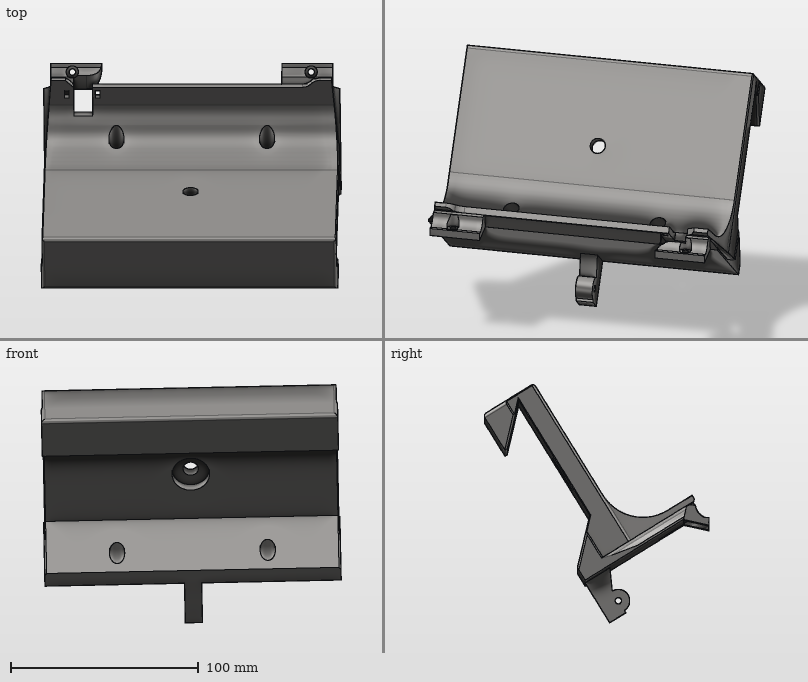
import cadquery as cq
import math


PITCH = 31.7
ROLL = -1.2

LENGTH = 158.0
HALF = LENGTH / 2
FRONT = -31.8
ARM_BACK = -11.7
TOP = 103.6
KNEE = 28.1
BASE_NOSE = KNEE - (ARM_BACK - FRONT)
HOOK_ROOT = 100.1
HOOK_TIP_WIDTH = 1.5
HOOK_TIP_Y = FRONT + HOOK_TIP_WIDTH
HOOK_TIP = HOOK_ROOT - (ARM_BACK - HOOK_TIP_Y)
TROUGH_RADIUS = 25.1
TROUGH_FLOOR = 8.6
SHELL = 3.5
LIP_UNDERSIDE = TROUGH_FLOOR - SHELL
LIP_END = 40.5
LIP_MIDDLE = 36.1
EAR_EDGE = 2.2
EAR_ROOT = 39.2
BASE_BACK = 29.7
SHELF_BACK = 34.7
TOP_ROUND = 1.9
EDGE_CHAMFER = 1.1

ARM_INSET = 0.56
SHOULDER_INSET = 1.1
BACK_INSET = 4.3
PANEL_FRONT = (-18.2, -17.5)
PANEL_BACK = (-1.5, 0.0)
FLARE_BOTTOM = 1.1
FLARE_TOP = 5.5
FLARE_CREASE = 3.8
CREASE_INSET = 3.7
CREASE_RUNOUT = -12.8
FLARE_RUNOUT = 1.6
FOOT_INSET = 0.5

SCREW_HOLE = 8.2
SCREW_X = 40.1
SCREW_Z = 15.4
ARM_HOLE_Z = 55.8
ARM_BORE = 20.0
ARM_BORE_DEPTH = 5.6
PIN_HOLE = 3.4

SLOT_X = (-62.8, -52.8)
SLOT_END = 18.5
WINDOW_X = (-66.5, -50.0)
WINDOW_WIDTH = 2.4
WINDOW_Y = (29.5, 33.9)
POCKET_RIGHT = -47.2
POCKET_FRONT = 14.5

RIGHT_SHOULDER = (59.2, 68.6)
LEFT_SHOULDER = LIP_END - LIP_MIDDLE

TAB_X = (48.0, 75.2)
TAB_HOLE_X = 63.6
TAB_HOLE_Y = 37.9
TAB_BORE = 6.5
TAB_BORE_FLOOR = -4.0
TAB_LOWER_TIP = (39.7, -9.6)
TAB_UPPER_TIP = (41.9, -6.2)
TAB_HOLLOW_START = (40.1, -5.1)
TAB_HOLLOW_MIDDLE = (38.5, -0.8)
TAB_HOLLOW_TOP = 3.2
LEDGE = 0.5
LEDGE_ROUND = 8.0

LUG_WIDTH = 9.3
LUG_BOTTOM = -24.8
LUG_ROOT_Y = -16.3
LUG_EYE_Y = -21.7
LUG_EYE_Z = -17.3
LUG_EYE_RADIUS = 6.0

OVERCUT = 1.6


def box(x, y, z):
    """Box spanning the given (low, high) ranges."""
    size = [high - low for low, high in (x, y, z)]
    return cq.Workplane("XY").box(*size, centered=False).translate((x[0], y[0], z[0]))


def prism(outline, x_low, x_high):
    """Extrude a YZ outline between two X positions."""
    return outline.extrude(x_high - x_low).translate((x_low, 0, 0))


def rod(diameter, start, end):
    """Round bar from one point to another."""
    axis = cq.Vector(*end) - cq.Vector(*start)
    return cq.Workplane(cq.Solid.makeCylinder(diameter / 2, axis.Length, cq.Vector(*start), axis))


def mouth_outline(x, margin):
    """Parallelogram between hook, arm and base slope, widened by a margin."""
    arm = ARM_BACK + margin
    front = FRONT - OVERCUT
    rise = margin * math.sqrt(2)
    lower = KNEE + margin - rise
    upper = HOOK_ROOT + margin + rise
    drop = arm - front
    corners = [(front, lower - drop), (arm, lower), (arm, upper), (front, upper - drop)]
    return cq.Wire.makePolygon([cq.Vector(x, y, z) for y, z in corners], close=True)


def mouth_bevel(end):
    """Bevel around the mouth of the hook at one end (-1 or 1)."""
    inner = mouth_outline(end * (HALF - EDGE_CHAMFER), 0)
    outer = mouth_outline(end * HALF, EDGE_CHAMFER)
    return cq.Workplane(cq.Solid.makeLoft([inner, outer], True))


def main_section():
    """Hook, arm, trough and base as one bar with eased edges."""
    bend = TROUGH_RADIUS * (1 - math.sqrt(0.5))
    outline = (
        cq.Workplane("YZ")
        .moveTo(BASE_BACK, 0)
        .lineTo(FRONT, 0)
        .lineTo(FRONT, BASE_NOSE)
        .lineTo(ARM_BACK, KNEE)
        .lineTo(ARM_BACK, HOOK_ROOT)
        .lineTo(HOOK_TIP_Y, HOOK_TIP)
        .lineTo(FRONT, HOOK_TIP)
        .lineTo(FRONT, TOP)
        .lineTo(0, TOP)
        .lineTo(0, TROUGH_FLOOR + TROUGH_RADIUS)
        .threePointArc((bend, TROUGH_FLOOR + bend), (TROUGH_RADIUS, TROUGH_FLOOR))
        .lineTo(LIP_END, TROUGH_FLOOR)
        .lineTo(LIP_END, TROUGH_FLOOR - EAR_EDGE)
        .lineTo(EAR_ROOT, LIP_UNDERSIDE)
        .lineTo(SHELF_BACK, LIP_UNDERSIDE)
        .close()
    )
    bar = prism(outline, -HALF, HALF)
    bar = bar.faces(">Z").edges().fillet(TOP_ROUND)
    for end in (-1, 1):
        bar = bar.cut(mouth_bevel(end))
    return bar


def wedge(end, z, tip_y, inset):
    """Level triangle at one end, from a point on the end face to an inset at the back."""
    full = end * HALF
    corners = [(full, tip_y), (full - end * inset, LIP_END), (full, LIP_END)]
    return cq.Wire.makePolygon([cq.Vector(x, y, z) for x, y in corners], close=True)


def flare_band(upper, lower):
    """Sloping cutter between two wedges."""
    return cq.Workplane(cq.Solid.makeLoft([upper, lower], True))


def end_relief(end):
    """Material removed at one end (-1 or 1) above the flared foot."""
    full = end * HALF
    arm = end * (HALF - ARM_INSET)
    shoulder = end * (HALF - SHOULDER_INSET)
    back = end * (HALF - BACK_INSET)
    outside = end * (HALF + OVERCUT)

    above_flare = (
        cq.Workplane("XY", origin=(0, 0, FLARE_TOP))
        .moveTo(full, PANEL_FRONT[0])
        .lineTo(arm, PANEL_FRONT[1])
        .lineTo(arm, PANEL_BACK[0])
        .lineTo(shoulder, PANEL_BACK[1])
        .lineTo(back, LIP_END)
        .lineTo(outside, LIP_END)
        .lineTo(outside, PANEL_FRONT[0])
        .close()
        .extrude(TOP)
    )
    upper_flare = flare_band(
        wedge(end, FLARE_TOP, PANEL_FRONT[0], BACK_INSET),
        wedge(end, FLARE_CREASE, CREASE_RUNOUT, CREASE_INSET),
    )
    lower_flare = flare_band(
        wedge(end, FLARE_CREASE, CREASE_RUNOUT, CREASE_INSET),
        wedge(end, FLARE_BOTTOM, FLARE_RUNOUT, FOOT_INSET),
    )
    return above_flare.union(upper_flare).union(lower_flare)


def lip_trim():
    """Strip removed from the lip edge between the two ears."""
    start, stop = RIGHT_SHOULDER
    middle = ((start + stop) / 2, (LIP_MIDDLE + LIP_END) / 2)
    return (
        cq.Workplane("XY", origin=(0, 0, LIP_UNDERSIDE))
        .moveTo(SLOT_X[0] - LEFT_SHOULDER, LIP_END)
        .lineTo(SLOT_X[0], LIP_MIDDLE)
        .lineTo(start, LIP_MIDDLE)
        .tangentArcPoint(middle, relative=False)
        .tangentArcPoint((stop, LIP_END), relative=False)
        .close()
        .extrude(SHELL)
    )


def tab(x_low, x_high):
    """Hook-shaped tab below one ear of the lip."""
    outline = (
        cq.Workplane("YZ")
        .moveTo(BASE_BACK, 0)
        .lineTo(*TAB_LOWER_TIP)
        .lineTo(*TAB_UPPER_TIP)
        .lineTo(*TAB_HOLLOW_START)
        .threePointArc(TAB_HOLLOW_MIDDLE, (EAR_ROOT, TAB_HOLLOW_TOP))
        .lineTo(LIP_MIDDLE, LIP_UNDERSIDE)
        .lineTo(SHELF_BACK, LIP_UNDERSIDE)
        .close()
    )
    return prism(outline, x_low, x_high)


def tab_hole(x):
    """Vertical pin hole through a tab, widened above."""
    pitch = math.radians(PITCH)
    step_y = TAB_BORE * math.sin(pitch)
    step_z = TAB_BORE * math.cos(pitch)
    floor = (x, TAB_HOLE_Y, TAB_BORE_FLOOR)
    above = (x, TAB_HOLE_Y + step_y, TAB_BORE_FLOOR + step_z)
    below = (x, TAB_HOLE_Y - step_y, TAB_BORE_FLOOR - step_z)
    return rod(TAB_BORE, floor, above).union(rod(PIN_HOLE, below, above))


def ledge_corner():
    """Waste outside the rounded right edge of the ledge."""
    x = -TAB_X[0] - LEDGE_ROUND
    z = LEDGE - LEDGE_ROUND
    block = box((x, -TAB_X[0]), (BASE_BACK, LIP_END), (z, LEDGE))
    return block.cut(rod(2 * LEDGE_ROUND, (x, BASE_BACK, z), (x, LIP_END, z)))


def lug():
    """Flat lug with a pin eye, hanging below the base."""
    outline = (
        cq.Workplane("YZ")
        .moveTo(FRONT, OVERCUT)
        .lineTo(FRONT, LUG_BOTTOM)
        .lineTo(LUG_EYE_Y, LUG_BOTTOM)
        .lineTo(LUG_EYE_Y, LUG_EYE_Z - LUG_EYE_RADIUS)
        .threePointArc(
            (LUG_EYE_Y + LUG_EYE_RADIUS, LUG_EYE_Z),
            (LUG_EYE_Y, LUG_EYE_Z + LUG_EYE_RADIUS),
        )
        .lineTo(LUG_ROOT_Y, 0)
        .lineTo(LUG_ROOT_Y, OVERCUT)
        .close()
    )
    eye = rod(PIN_HOLE, (-LUG_WIDTH, LUG_EYE_Y, LUG_EYE_Z), (LUG_WIDTH, LUG_EYE_Y, LUG_EYE_Z))
    return prism(outline, -LUG_WIDTH / 2, LUG_WIDTH / 2).cut(eye)


body = main_section()
for end in (-1, 1):
    body = body.cut(end_relief(end))
body = body.cut(lip_trim())

left_tab = tab(-TAB_X[1], -TAB_X[0])
ledge_space = box((SLOT_X[0], -TAB_X[0]), (BASE_BACK, LIP_END), (LEDGE, LIP_UNDERSIDE))
left_tab = left_tab.cut(ledge_space).cut(ledge_corner())
body = body.cut(ledge_space)
body = body.union(left_tab).union(tab(*TAB_X)).union(lug())
for side in (-1, 1):
    body = body.cut(tab_hole(side * TAB_HOLE_X))

body = body.cut(box(SLOT_X, (SLOT_END, LIP_END), (LIP_UNDERSIDE, TROUGH_FLOOR + TROUGH_RADIUS)))
body = body.cut(box((SLOT_X[0], POCKET_RIGHT), (POCKET_FRONT, BASE_BACK), (0, LIP_UNDERSIDE)))
for x in WINDOW_X:
    width = (x - WINDOW_WIDTH / 2, x + WINDOW_WIDTH / 2)
    body = body.cut(box(width, WINDOW_Y, (LIP_UNDERSIDE, TROUGH_FLOOR)))

for side in (-1, 1):
    x = side * SCREW_X
    body = body.cut(rod(SCREW_HOLE, (x, FRONT, SCREW_Z), (x, LIP_END, SCREW_Z)))
body = body.cut(rod(SCREW_HOLE, (0, ARM_BACK, ARM_HOLE_Z), (0, 0, ARM_HOLE_Z)))
body = body.cut(rod(ARM_BORE, (0, ARM_BACK, ARM_HOLE_Z), (0, ARM_BACK + ARM_BORE_DEPTH, ARM_HOLE_Z)))

result = body.rotate((0, 0, 0), (1, 0, 0), PITCH).rotate((0, 0, 0), (0, 1, 0), ROLL)